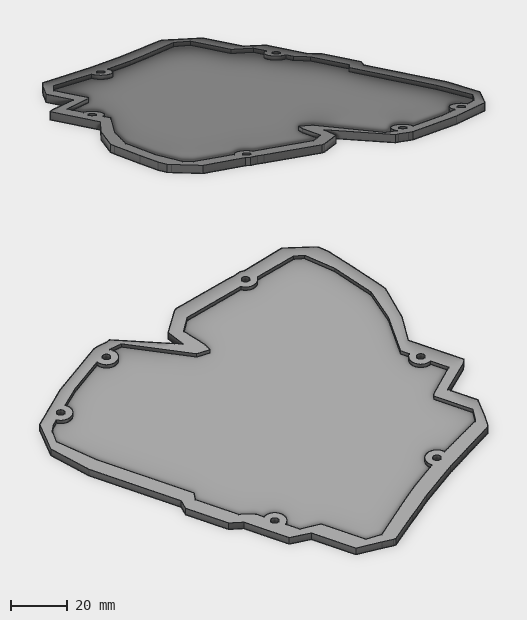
import cadquery as cq

LENGTH_X = 142.63
LENGTH_Y = 148.22
THICKNESS = 3.0
RECESS_DEPTH = 1.5

HOLE_DIAMETER = 3.0
BOSS_DIAMETER = 8.6

LEFT = -LENGTH_X / 2
RIGHT = LENGTH_X / 2
FRONT = -LENGTH_Y / 2
BACK = LENGTH_Y / 2

BACK_SHOULDER = 71.2
BACK_LEFT_STEP = 65.3

FRONT_LEFT_EDGE = -26.6
FRONT_TAB_EDGE = -43.9

RECESS_BACK = 68.3
RECESS_BACK_SHOULDER = 65.3
RECESS_BACK_LEFT_STEP = 59.3
RECESS_FRONT_LEFT_EDGE = -21.1
RECESS_FRONT_TAB_EDGE = -37.5

RECESS_LEFT = -65.9
RECESS_RIGHT = 66.9

OUTER_OUTLINE = [
    (-61.3, BACK_LEFT_STEP),
    (-43.6, BACK_LEFT_STEP),
    (-37.9, BACK_SHOULDER),
    (-19.8, BACK_SHOULDER),
    (-15.3, BACK),
    (1.9, BACK),
    (5.2, BACK_SHOULDER),
    (42.0, BACK_SHOULDER),
    (59.0, 67.7),
    (68.8, 57.6),
    (RIGHT, 37.5),
    (RIGHT, 12.0),
    (70.7, 10.2),
    (69.0, 6.6),
    (68.8, 5.2),
    (44.7, -4.9),
    (52.4, -8.0),
    (56.0, -19.6),
    (56.0, -21.0),
    (47.5, -43.7),
    (46.4, -46.2),
    (45.6, -49.2),
    (44.4, -50.6),
    (38.6, -67.6),
    (29.0, -73.4),
    (27.6, FRONT),
    (23.4, -73.7),
    (13.2, -70.7),
    (-1.7, -66.0),
    (-4.2, -65.0),
    (-16.6, -54.0),
    (-24.4, FRONT_TAB_EDGE),
    (-46.6, FRONT_TAB_EDGE),
    (-47.5, -41.4),
    (-49.2, FRONT_LEFT_EDGE),
    (-61.3, FRONT_LEFT_EDGE),
    (-67.8, -19.7),
    (-70.8, -16.1),
    (LEFT, -15.1),
    (-70.45, -1.4),
    (-70.3, 2.2),
    (-69.8, 10.2),
    (-69.8, 28.0),
    (-70.3, 36.0),
    (-70.45, 39.9),
    (LEFT, 53.9),
    (-70.8, 54.8),
    (-67.9, 57.9),
]

RECESS_OUTLINE = [
    (-62.2, RECESS_BACK_LEFT_STEP),
    (-44.3, RECESS_BACK_LEFT_STEP),
    (-39.0, RECESS_BACK_SHOULDER),
    (-21.3, RECESS_BACK_SHOULDER),
    (-16.1, RECESS_BACK),
    (1.0, RECESS_BACK),
    (3.1, RECESS_BACK_SHOULDER),
    (41.8, RECESS_BACK_SHOULDER),
    (59.2, 63.2),
    (63.3, 58.6),
    (64.4, 55.6),
    (RECESS_RIGHT, 35.0),
    (RECESS_RIGHT, 11.2),
    (64.0, 5.2),
    (38.0, -2.4),
    (34.9, -6.6),
    (37.9, -8.3),
    (47.9, -11.2),
    (50.3, -18.3),
    (32.9, -65.6),
    (29.7, -67.8),
    (17.0, -66.5),
    (-0.5, -61.0),
    (-12.4, -51.6),
    (-24.7, RECESS_FRONT_TAB_EDGE),
    (-43.9, RECESS_FRONT_TAB_EDGE),
    (-46.1, -21.9),
    (-46.8, RECESS_FRONT_LEFT_EDGE),
    (-62.2, RECESS_FRONT_LEFT_EDGE),
    (RECESS_LEFT, -16.2),
    (-64.2, 4.2),
    (-63.7, 12.5),
    (-63.7, 25.7),
    (-64.2, 34.0),
    (RECESS_LEFT, 54.4),
]

RIGHT_SCREW_X = 65.3
SCREW_POSITIONS = [
    (-29.0, 65.3),
    (RIGHT_SCREW_X, 48.4),
    (RIGHT_SCREW_X, 14.0),
    (41.9, -46.5),
    (-32.4, -38.1),
    (-63.4, 8.2),
]


def make_plate():
    return cq.Workplane("XY").polyline(OUTER_OUTLINE).close().extrude(THICKNESS)


def make_recess():
    """Shallow pocket, open at the top, that leaves a round boss at each screw."""
    floor = cq.Workplane("XY").workplane(offset=THICKNESS - RECESS_DEPTH)
    pocket = floor.polyline(RECESS_OUTLINE).close().extrude(RECESS_DEPTH)
    bosses = floor.pushPoints(SCREW_POSITIONS).circle(BOSS_DIAMETER / 2).extrude(RECESS_DEPTH)
    return pocket.cut(bosses)


def make_screw_holes():
    return cq.Workplane("XY").pushPoints(SCREW_POSITIONS).circle(HOLE_DIAMETER / 2).extrude(THICKNESS)


result = make_plate().cut(make_recess()).cut(make_screw_holes())